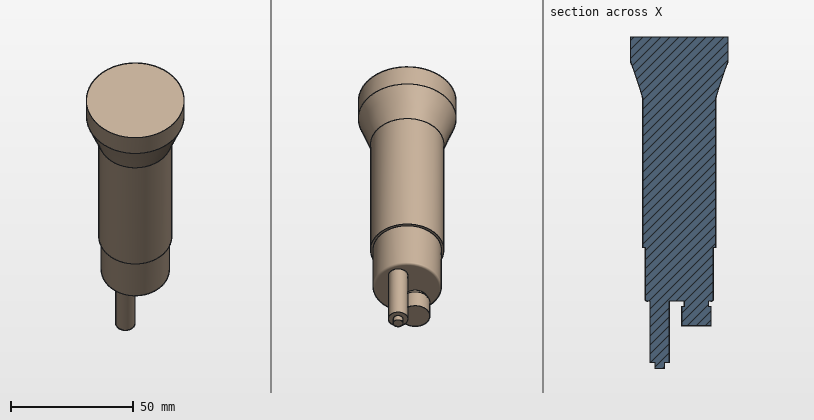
import cadquery as cq

SPIGOT_DIAMETER = 28.0
SPIGOT_LENGTH = 22.0
SPIGOT_FILLET = 1.0
BARREL_DIAMETER = 30.0
BARREL_LENGTH = 61.0
HEAD_DIAMETER = 40.0
FLARE_LENGTH = 15.0
HEAD_LENGTH = 10.0

ROD_OFFSET_Y = -8.0
ROD_DIAMETER = 8.0
ROD_LENGTH = 25.0
ROD_TIP_DIAMETER = 4.0
ROD_TIP_LENGTH = 2.5

KNOB_OFFSET_Y = 7.0
KNOB_NECK_DIAMETER = 10.0
KNOB_NECK_LENGTH = 2.0
KNOB_DIAMETER = 12.0
KNOB_LENGTH = 8.0


def make_body():
    """Revolve the half outline of spigot, barrel, flare and head about Z and round the lower rim."""
    spigot_radius = SPIGOT_DIAMETER / 2
    barrel_radius = BARREL_DIAMETER / 2
    head_radius = HEAD_DIAMETER / 2
    barrel_top = SPIGOT_LENGTH + BARREL_LENGTH
    flare_top = barrel_top + FLARE_LENGTH
    head_top = flare_top + HEAD_LENGTH
    outline = [
        (0, 0),
        (spigot_radius, 0),
        (spigot_radius, SPIGOT_LENGTH),
        (barrel_radius, SPIGOT_LENGTH),
        (barrel_radius, barrel_top),
        (head_radius, flare_top),
        (head_radius, head_top),
        (0, head_top),
    ]
    body = cq.Workplane("XZ").polyline(outline).close().revolve(360, (0, 0, 0), (0, 1, 0))
    return body.faces("<Z").edges().fillet(SPIGOT_FILLET)


def make_stepped_pin(offset_y, upper_diameter, upper_length, lower_diameter, lower_length):
    """Two coaxial cylinders hanging one below the other from Z = 0."""
    upper = cq.Workplane("XY").center(0, offset_y).circle(upper_diameter / 2).extrude(-upper_length)
    lower = (
        cq.Workplane("XY", origin=(0, offset_y, -upper_length))
        .circle(lower_diameter / 2)
        .extrude(-lower_length)
    )
    return upper.union(lower)


rod = make_stepped_pin(ROD_OFFSET_Y, ROD_DIAMETER, ROD_LENGTH, ROD_TIP_DIAMETER, ROD_TIP_LENGTH)
knob = make_stepped_pin(
    KNOB_OFFSET_Y, KNOB_NECK_DIAMETER, KNOB_NECK_LENGTH, KNOB_DIAMETER, KNOB_LENGTH
)
result = make_body().union(rod).union(knob)